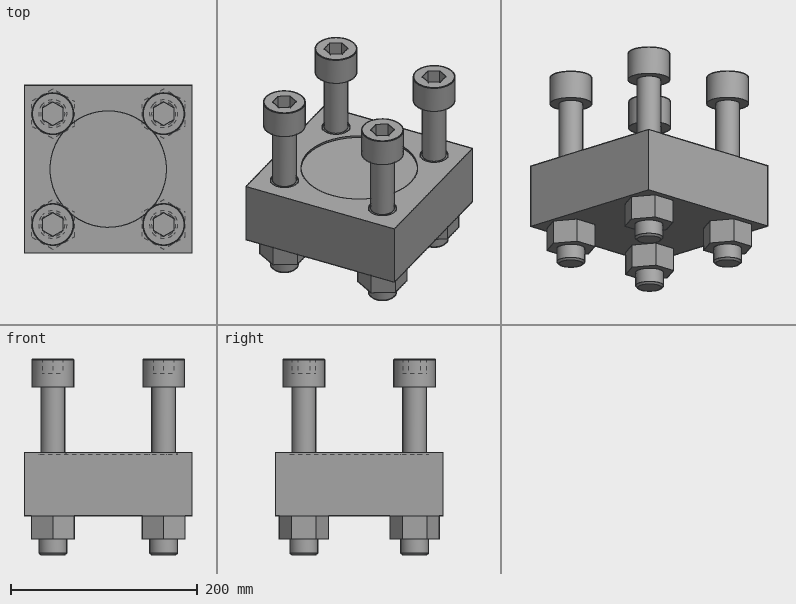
import cadquery as cq
import math

total_height = 210.0

plate_side = 180.0
plate_thickness = 68.0
recess_diameter = 125.0
recess_depth = 2.0

bolt_spacing = 118.9
shank_diameter = 25.6
thread_diameter = 30.0
thread_chamfer = (thread_diameter - shank_diameter) / 2

head_diameter = 45.0
head_height = thread_diameter
head_chamfer = 0.6
socket_across_flats = 22.0
socket_depth = 15.5

nut_across_flats = 46.0
nut_height = 25.0

bolt_projection = 42.0

tip_z = -bolt_projection
head_top_z = tip_z + total_height
head_bottom_z = head_top_z - head_height


def hexagon(across_flats, bottom_z, height):
    """Upright hexagonal prism with two corners pointing along +Y and -Y."""
    across_corners = across_flats / math.cos(math.pi / 6)
    prism = cq.Workplane("XY").polygon(6, across_corners).extrude(height)
    return prism.rotate((0, 0, 0), (0, 0, 1), 90).translate((0, 0, bottom_z))


def cylinder(diameter, bottom_z, top_z):
    """Upright cylinder on the Z axis."""
    return cq.Workplane("XY", origin=(0, 0, bottom_z)).circle(diameter / 2).extrude(top_z - bottom_z)


def make_plate():
    """Square plate with a shallow round recess in its top face."""
    plate = cq.Workplane("XY").box(plate_side, plate_side, plate_thickness, centered=(True, True, False))
    return plate.cut(cylinder(recess_diameter, plate_thickness - recess_depth, plate_thickness))


def make_bolt():
    """Bolt with its nut; the thread fills the plate hole and ends in a chamfer at each end."""
    thread = cylinder(thread_diameter, tip_z, plate_thickness).faces("<Z or >Z").chamfer(thread_chamfer)
    shank = cylinder(shank_diameter, 0, head_bottom_z)
    head = cylinder(head_diameter, head_bottom_z, head_top_z).faces(">Z").chamfer(head_chamfer)
    socket = hexagon(socket_across_flats, head_top_z - socket_depth, socket_depth)
    nut = hexagon(nut_across_flats, -nut_height, nut_height)
    return thread.union(shank).union(head).cut(socket).union(nut)


hole = cylinder(thread_diameter, 0, plate_thickness)
bolt = make_bolt()

result = make_plate()
for x_side in (-1, 1):
    for y_side in (-1, 1):
        place = (x_side * bolt_spacing / 2, y_side * bolt_spacing / 2, 0)
        result = result.cut(hole.translate(place))
        result = result.union(bolt.translate(place))